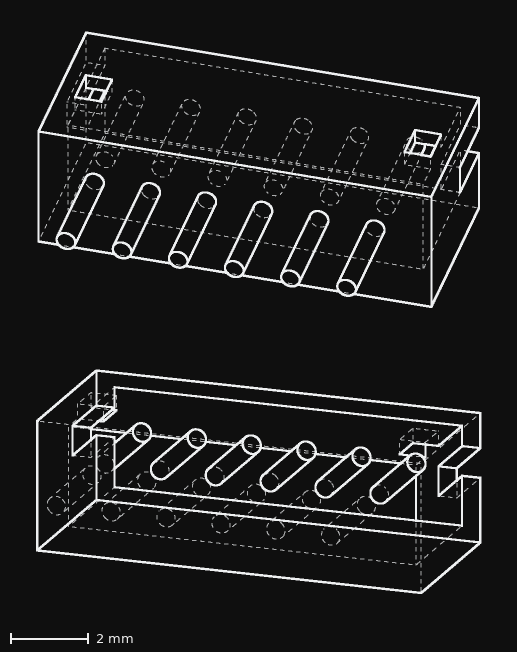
import cadquery as cq

BODY_LENGTH = 10.5
BODY_DEPTH = 4.5
BODY_HEIGHT = 3.5
SIDE_WALL = 0.5
TOP_WALL = 0.4
BASE_THICKNESS = 1.0

PIN_COUNT = 6
PIN_PITCH = 1.5
PIN_DIAMETER = 0.5
PIN_TAIL = 2.7
PIN_RECESS = 0.7
PIN_BELOW_TOP = 1.3

WINDOW_LENGTH = 0.7
WINDOW_DEPTH = 1.0
WINDOW_FROM_BASE = 1.7

SLOT_DEPTH = 1.8
SLOT_BELOW_TOP = 0.95
SLOT_HEIGHT = 0.8

TOP_Z = BODY_HEIGHT / 2
CAVITY_LENGTH = BODY_LENGTH - 2 * SIDE_WALL
CAVITY_HEIGHT = BODY_HEIGHT - 2 * TOP_WALL
PIN_Z = TOP_Z - PIN_BELOW_TOP


def block(length, depth, height, x, y, z):
    """Box centred on x and z whose -Y face lies at y."""
    return cq.Workplane("XY").box(length, depth, height, centered=(True, False, True)).translate((x, y, z))


def housing_shell():
    outer = block(BODY_LENGTH, BODY_DEPTH, BODY_HEIGHT, 0, 0, 0)
    cavity = block(CAVITY_LENGTH, BODY_DEPTH - BASE_THICKNESS, CAVITY_HEIGHT, 0, BASE_THICKNESS, 0)
    return outer.cut(cavity)


def end_slots():
    """One bar along the full length opens the slot in both end walls."""
    slot_z = TOP_Z - SLOT_BELOW_TOP - SLOT_HEIGHT / 2
    return block(BODY_LENGTH, SLOT_DEPTH, SLOT_HEIGHT, 0, BODY_DEPTH - SLOT_DEPTH, slot_z)


def latch_window(side):
    """Window at the -X (side = -1) or +X (side = 1) end."""
    window_x = side * (CAVITY_LENGTH - WINDOW_LENGTH) / 2
    window_z = TOP_Z - TOP_WALL / 2
    return block(WINDOW_LENGTH, WINDOW_DEPTH, TOP_WALL, window_x, WINDOW_FROM_BASE, window_z)


def pin(index):
    pin_x = (index - (PIN_COUNT - 1) / 2) * PIN_PITCH
    pin_length = PIN_TAIL + BODY_DEPTH - PIN_RECESS
    start = cq.Vector(pin_x, -PIN_TAIL, PIN_Z)
    return cq.Solid.makeCylinder(PIN_DIAMETER / 2, pin_length, start, cq.Vector(0, 1, 0))


result = housing_shell().cut(end_slots())
for side in (-1, 1):
    result = result.cut(latch_window(side))
for index in range(PIN_COUNT):
    result = result.union(cq.Workplane(obj=pin(index)))